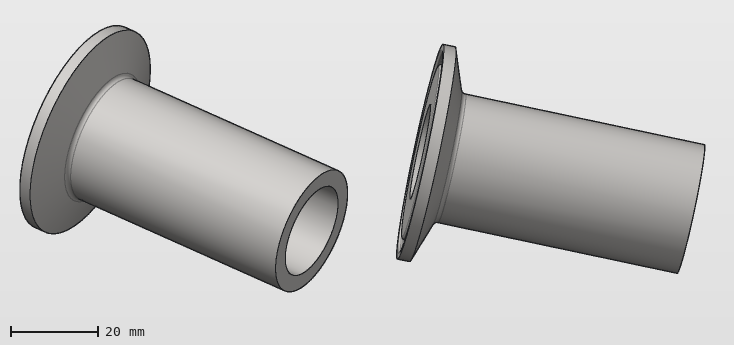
import cadquery as cq
import math

length = 63.5
bore_radius = 22.1 / 2
tube_radius = 30.2 / 2
flange_radius = 50.4 / 2
rim_width = 2.85
taper_angle = math.radians(20)
neck_fillet = 1.2

groove_radius = 21.85
groove_width = 4.0
groove_depth = 1.65
wall_angle = math.radians(20)
lip_fillet = 0.75


def point_on_arc(center, radius, angle):
    """Point at the given angle, measured from +X, on an arc in the section plane."""
    return (center[0] + radius * math.cos(angle), center[1] + radius * math.sin(angle))


def body():
    """Bored tube and flange, with a fillet where the taper runs into the tube."""
    fillet_start_angle = math.pi + taper_angle
    fillet_end_angle = 1.5 * math.pi
    fillet_center_radius = tube_radius + neck_fillet
    taper_end_radius = fillet_center_radius + neck_fillet * math.sin(fillet_start_angle)
    taper_end_x = rim_width + (flange_radius - taper_end_radius) * math.tan(taper_angle)
    fillet_center = (taper_end_x - neck_fillet * math.cos(fillet_start_angle), fillet_center_radius)
    fillet_middle = point_on_arc(fillet_center, neck_fillet, (fillet_start_angle + fillet_end_angle) / 2)

    section = (
        cq.Workplane("XY")
        .moveTo(0, bore_radius)
        .lineTo(0, flange_radius)
        .lineTo(rim_width, flange_radius)
        .lineTo(taper_end_x, taper_end_radius)
        .threePointArc(fillet_middle, (fillet_center[0], tube_radius))
        .lineTo(length, tube_radius)
        .lineTo(length, bore_radius)
        .close()
    )
    return section.revolve(360, (0, 0, 0), (1, 0, 0))


def gasket_groove():
    """Ring with a round bottom, tilted walls and rounded lips."""
    half_width = groove_width / 2

    wall_sine = math.sin(wall_angle)
    wall_cosine = math.cos(wall_angle)
    radius_sum = (half_width * wall_cosine - groove_depth * wall_sine) / (1 - wall_sine)
    bottom_radius = radius_sum - lip_fillet

    lip_center = (lip_fillet, half_width)
    lip_end_angle = 1.5 * math.pi - wall_angle
    lip_end = point_on_arc(lip_center, lip_fillet, lip_end_angle)
    lip_middle = point_on_arc(lip_center, lip_fillet, (math.pi + lip_end_angle) / 2)
    bottom_center = (groove_depth - bottom_radius, 0)
    wall_end = point_on_arc(bottom_center, bottom_radius, math.pi / 2 - wall_angle)

    def outer(point):
        return (point[0], groove_radius + point[1])

    def inner(point):
        return (point[0], groove_radius - point[1])

    section = (
        cq.Workplane("XY")
        .moveTo(0, groove_radius + half_width)
        .threePointArc(outer(lip_middle), outer(lip_end))
        .lineTo(*outer(wall_end))
        .threePointArc((groove_depth, groove_radius), inner(wall_end))
        .lineTo(*inner(lip_end))
        .threePointArc(inner(lip_middle), (0, groove_radius - half_width))
        .close()
    )
    return section.revolve(360, (0, 0, 0), (1, 0, 0))


result = body().cut(gasket_groove())